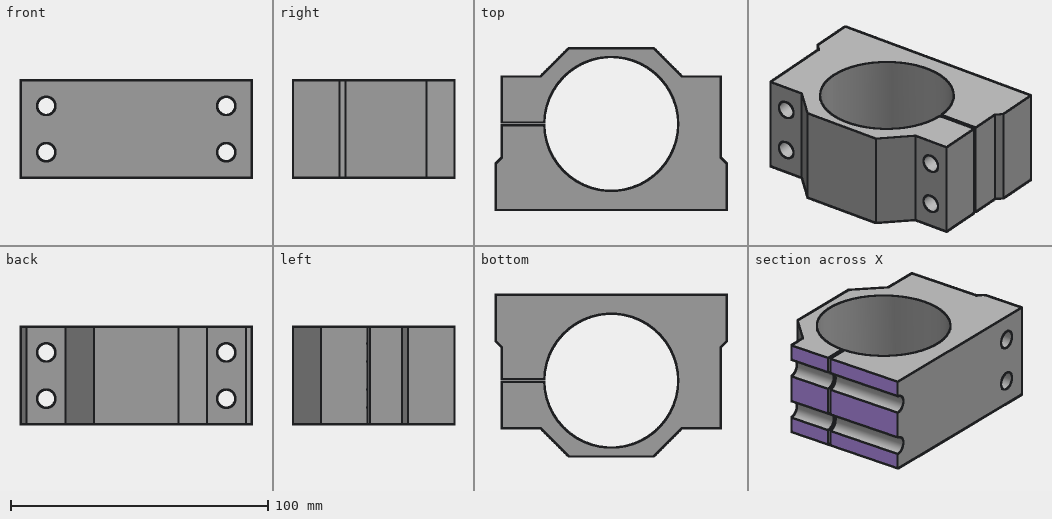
import cadquery as cq

foot_width = 90.0
depth = 63.0
height = 38.0

body_width = 85.3
foot_depth = 18.1
shoulder_depth = 52.0
crown_width = 33.0
foot_bevel = (foot_width - body_width) / 2
crown_bevel = depth - shoulder_depth

bore_diameter = 52.0
bore_y = 33.5
slit_width = 1.0

hole_diameter = 7.0
hole_spacing_x = 70.0
hole_spacing_z = 18.0


def make_body():
    """Extrude the symmetric outline: wide foot, narrower body, bevelled crown."""
    right_side = [
        (foot_width / 2, 0),
        (foot_width / 2, foot_depth),
        (body_width / 2, foot_depth + foot_bevel),
        (body_width / 2, shoulder_depth),
        (crown_width / 2 + crown_bevel, shoulder_depth),
        (crown_width / 2, depth),
    ]
    left_side = [(-x, y) for x, y in reversed(right_side)]
    outline = cq.Workplane("XY").polyline(right_side + left_side).close()
    return outline.extrude(height / 2, both=True)


def make_bore():
    """Round opening through the full height."""
    return cq.Workplane("XY").center(0, bore_y).circle(bore_diameter / 2).extrude(height / 2, both=True)


def make_slit():
    """Thin slot from the bore centre out through the -X side."""
    slit = cq.Workplane("XY").box(foot_width / 2, slit_width, height)
    return slit.translate((-foot_width / 4, bore_y, 0))


def make_mounting_holes():
    """Four plain holes running through the whole depth along Y."""
    return (
        cq.Workplane("XZ")
        .rarray(hole_spacing_x, hole_spacing_z, 2, 2)
        .circle(hole_diameter / 2)
        .extrude(-depth)
    )


result = make_body().cut(make_bore()).cut(make_slit()).cut(make_mounting_holes())